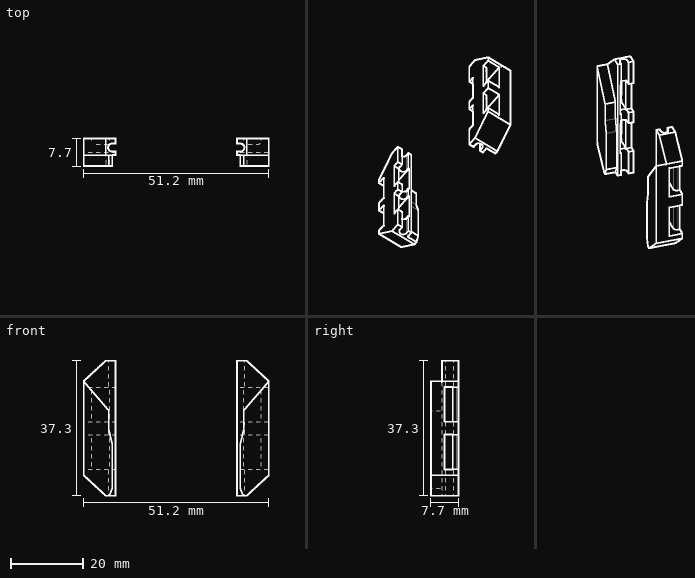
import cadquery as cq

span = 51.2
depth = 7.7
height = 37.3
grip_width = 8.85

plate_depth = 4.65
corner_width = 6.15
corner_height = 5.7

pad_upper_inset = 1.85
pad_lower_inset = 0.9
pad_foot_inset = 1.75
pad_shoulder_z = 23.5
pad_step_top_z = 18.0
pad_step_bottom_z = 14.35
pad_foot_z = 2.1

groove_radius = 1.1
groove_center_inset = 0.95
groove_from_back = 2.55

window_depth = 3.85
window_height = 9.6
window_spacing = 13.15
bar_depth = 1.65
bar_outer_inset = 2.2
bar_inner_inset = 1.75
bar_round = 1.0

outer_x = -span / 2
inner_x = outer_x + grip_width
corner_x = outer_x + corner_width
corner_top_z = height - corner_height


def make_plate():
    outline = [
        (inner_x, 0),
        (corner_x, 0),
        (outer_x, corner_height),
        (outer_x, corner_top_z),
        (corner_x, height),
        (inner_x, height),
    ]
    return cq.Workplane("XZ", origin=(0, depth, 0)).polyline(outline).close().extrude(plate_depth)


def make_pad():
    pad_depth = depth - plate_depth
    outline = [
        (corner_x, 0),
        (outer_x, corner_height),
        (outer_x, corner_top_z),
        (inner_x - pad_upper_inset, pad_shoulder_z),
        (inner_x - pad_upper_inset, pad_step_top_z),
        (inner_x - pad_lower_inset, pad_step_bottom_z),
        (inner_x - pad_lower_inset, pad_foot_z),
        (inner_x - pad_foot_inset, 0),
    ]
    return cq.Workplane("XZ", origin=(0, pad_depth, 0)).polyline(outline).close().extrude(pad_depth)


def make_groove():
    center_x = inner_x - groove_center_inset
    center_y = depth - groove_from_back
    return (
        cq.Workplane("XY")
        .moveTo(inner_x, center_y - groove_radius)
        .lineTo(center_x, center_y - groove_radius)
        .threePointArc((center_x - groove_radius, center_y), (center_x, center_y + groove_radius))
        .lineTo(inner_x, center_y + groove_radius)
        .close()
        .extrude(height)
    )


def make_window(center_z):
    """Cut that passes in front of the back bar and opens on both sides of it."""
    bottom_z = center_z - window_height / 2
    opening = (
        cq.Workplane("XY", origin=(outer_x, depth - window_depth, bottom_z))
        .box(grip_width, window_depth, window_height, centered=False)
    )
    bar_width = grip_width - bar_outer_inset - bar_inner_inset
    bar = (
        cq.Workplane("XY", origin=(outer_x + bar_outer_inset, depth - bar_depth, bottom_z))
        .box(bar_width, bar_depth, window_height, centered=False)
        .edges("|Z and <X and <Y")
        .fillet(bar_round)
    )
    return opening.cut(bar)


def make_grip():
    grip = make_plate().union(make_pad()).cut(make_groove())
    for side in (-1, 1):
        grip = grip.cut(make_window(height / 2 + side * window_spacing / 2))
    return grip


left_grip = make_grip()
right_grip = left_grip.mirror("YZ")

result = cq.Compound.makeCompound([left_grip.val(), right_grip.val()])